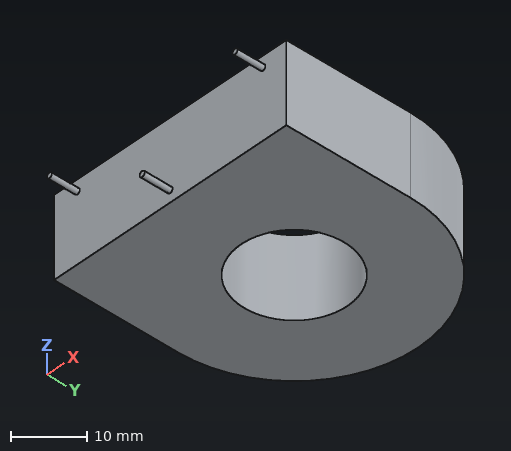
import cadquery as cq

housing_width = 44.5
housing_height = 14.3
bore_diameter = 19.0
back_radius = housing_width / 2
front_y = -back_radius

pin_diameter = 1.0
pin_length = 5.0
outer_pin_x = 17.75
pin_row_spacing = 10.15
upper_pin_z = (housing_height + pin_row_spacing) / 2
lower_pin_z = upper_pin_z - pin_row_spacing
pin_positions = [
    (-outer_pin_x, upper_pin_z),
    (outer_pin_x, upper_pin_z),
    (0, lower_pin_z),
]


def make_housing():
    """Extruded half-round outline with a vertical through bore."""
    outline = (
        cq.Workplane("XY")
        .moveTo(-back_radius, front_y)
        .lineTo(back_radius, front_y)
        .lineTo(back_radius, 0)
        .threePointArc((0, back_radius), (-back_radius, 0))
        .close()
    )
    block = outline.extrude(housing_height)
    return block.faces(">Z").workplane(origin=(0, 0, housing_height)).hole(bore_diameter)


def make_pins():
    """Round pins pointing toward -Y from the front face."""
    front_plane = cq.Workplane("XZ", origin=(0, front_y, 0))
    return front_plane.pushPoints(pin_positions).circle(pin_diameter / 2).extrude(pin_length)


result = make_housing().union(make_pins())